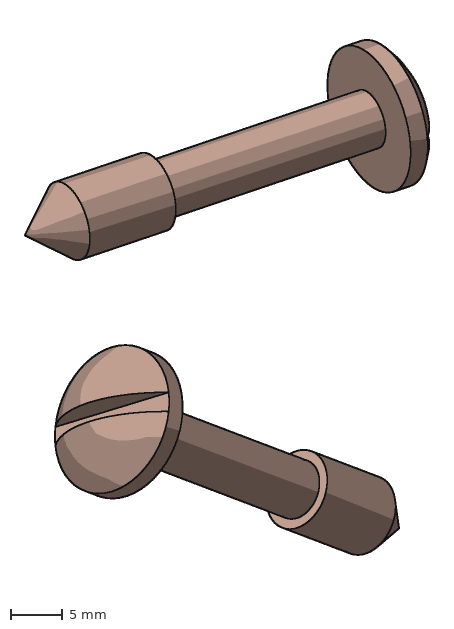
import cadquery as cq
import math

total_length = 45.0
head_diameter = 15.0
rim_thickness = 2.0
dome_height = 3.0
shank_diameter = 6.0
tip_diameter = 8.0
tip_length = 10.0
cone_length = 5.0
slot_width = 2.0
slot_depth = dome_height

tip_end = cone_length + tip_length
dome_base = total_length - dome_height
head_underside = dome_base - rim_thickness

head_radius = head_diameter / 2
shank_radius = shank_diameter / 2
tip_radius = tip_diameter / 2
slot_half_width = slot_width / 2

center_below_base = (head_radius**2 - slot_half_width**2 - dome_height**2) / (2 * dome_height)
dome_radius = math.hypot(head_radius, center_below_base)
dome_center = dome_base - center_below_base
crown = dome_center + dome_radius
dome_mid_radius = head_radius / 2
dome_mid = dome_center + math.sqrt(dome_radius**2 - dome_mid_radius**2)


def make_pin():
    """Revolve the half profile of cone, tip, shank and domed head about Y."""
    return (
        cq.Workplane("XY")
        .moveTo(0, 0)
        .lineTo(tip_radius, cone_length)
        .lineTo(tip_radius, tip_end)
        .lineTo(shank_radius, tip_end)
        .lineTo(shank_radius, head_underside)
        .lineTo(head_radius, head_underside)
        .lineTo(head_radius, dome_base)
        .threePointArc((dome_mid_radius, dome_mid), (0, crown))
        .close()
        .revolve(360, (0, 0, 0), (0, 1, 0))
    )


def make_slot():
    """Screwdriver slot running along X across the whole dome."""
    slot_floor = total_length - slot_depth
    cut_height = 2 * slot_depth
    return (
        cq.Workplane("XY")
        .box(head_diameter, cut_height, slot_width, centered=(True, False, True))
        .translate((0, slot_floor, 0))
    )


result = make_pin().cut(make_slot())